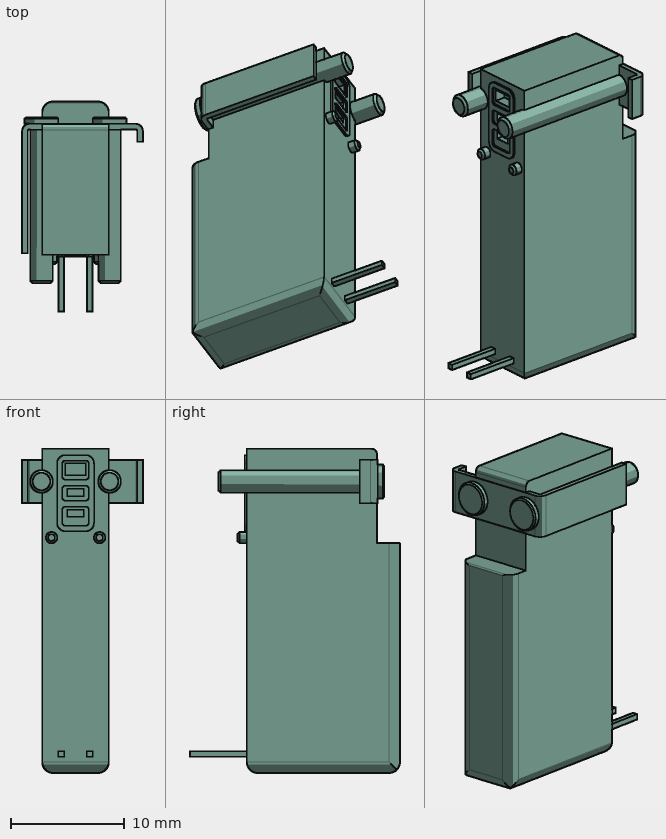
import cadquery as cq


case_width = 5.88
case_height = 28.55
case_depth = 13.5
head_depth = 11.48
step_height = 20.27
case_radius = 1.0
top_edge_radius = 0.49
step_edge_radius = 0.15

sheet = 0.5
bend_inner_radius = 0.15
bracket_back = 11.53
bracket_left = -4.7
bracket_right = 5.95
bracket_height = 3.83
bracket_middle_z = 25.67
left_leg_length = 11.42
right_leg_length = 1.6

screw_offset_x = 3.0
screw_diameter = 2.0
screw_projection = 2.5
screw_tip_chamfer = 0.23
screw_head_diameter = 3.0
screw_head_height = 0.57
screw_head_chamfer = 0.15

root_depth = 0.57

peg_offset_x = 2.1
peg_z = 20.73
peg_diameter = 1.0
peg_projection = 0.83
peg_chamfer = 0.2

lead_offset_x = 1.25
lead_z = 1.68
lead_side = 0.5
lead_projection = 5.0

frame_width = 3.25
frame_height = 6.7
frame_thickness = 0.17
frame_radius = 0.75
frame_middle_z = 24.65
window_width = 2.35
window_radius = 0.29
window_pitch = 2.03
outer_window_height = 1.68
middle_window_height = 1.3
pocket_depth = 1.0
pockets = [(1.77, 1.05, 26.72), (1.43, 0.69, 24.7), (1.43, 0.6, 22.87)]


def front_block(width, height, middle_z, y_front, y_back):
    """Block centred on X = 0 and middle_z, spanning y_front to y_back."""
    middle = (0, (y_front + y_back) / 2, middle_z)
    return cq.Workplane("XY", origin=middle).box(width, y_back - y_front, height)


def front_cylinder(x, z, diameter, y_front, y_back):
    """Cylinder along Y between y_front and y_back."""
    return (
        cq.Workplane("XZ", origin=(x, y_back, z))
        .circle(diameter / 2)
        .extrude(y_back - y_front)
    )


def make_case():
    """Case as the common volume of its three outlines, so the rounded edges meet in mitres."""
    envelope = front_block(case_width, case_height, case_height / 2, 0, case_depth)
    front_outline = envelope.edges("|Y and <Z").fillet(case_radius)
    plan_outline = envelope.edges("|Z and >Y").fillet(case_radius)
    side_outline = (
        cq.Workplane("YZ", origin=(-case_width / 2, 0, 0))
        .polyline(
            [
                (0, 0),
                (case_depth, 0),
                (case_depth, step_height),
                (head_depth, step_height),
                (head_depth, case_height),
                (0, case_height),
            ]
        )
        .close()
        .extrude(case_width)
    )
    side_outline = side_outline.edges("|X and <Z").fillet(case_radius)
    side_outline = side_outline.faces(">Z").edges(">Y").fillet(top_edge_radius)
    side_outline = side_outline.faces(">Y").edges(">Z").fillet(step_edge_radius)
    return side_outline.intersect(front_outline).intersect(plan_outline)


def make_bracket():
    """Sheet strip behind the case, with a long left leg and a short right leg."""
    outer_radius = bend_inner_radius + sheet
    back = bracket_back
    strip = (
        cq.Workplane("XY", origin=(0, 0, bracket_middle_z - bracket_height / 2))
        .moveTo(bracket_left, back - left_leg_length)
        .lineTo(bracket_left, back)
        .lineTo(bracket_right, back)
        .lineTo(bracket_right, back - right_leg_length)
        .lineTo(bracket_right - sheet, back - right_leg_length)
        .lineTo(bracket_right - sheet, back - sheet)
        .lineTo(bracket_left + sheet, back - sheet)
        .lineTo(bracket_left + sheet, back - left_leg_length)
        .close()
        .extrude(bracket_height)
    )
    strip = strip.edges("|Z and >Y").fillet(outer_radius)
    inner_y = back - sheet
    inner_bends = [(bracket_left + sheet, inner_y), (bracket_right - sheet, inner_y)]
    for x, y in inner_bends:
        nearest_edge = cq.selectors.NearestToPointSelector((x, y, bracket_middle_z))
        strip = strip.edges("|Z").edges(nearest_edge).fillet(bend_inner_radius)
    return strip


def make_screw(x):
    shank = front_cylinder(x, bracket_middle_z, screw_diameter, -screw_projection, bracket_back)
    shank = shank.faces("<Y").chamfer(screw_tip_chamfer)
    head = front_cylinder(
        x, bracket_middle_z, screw_head_diameter, bracket_back, bracket_back + screw_head_height
    )
    head = head.faces(">Y").chamfer(screw_head_chamfer)
    return shank.union(head)


def make_peg(x):
    peg = front_cylinder(x, peg_z, peg_diameter, -peg_projection, root_depth)
    return peg.faces("<Y").chamfer(peg_chamfer)


def make_lead(x):
    lead = front_block(lead_side, lead_side, lead_z, -lead_projection, root_depth)
    return lead.translate((x, 0, 0))


def make_frame():
    frame = front_block(frame_width, frame_height, frame_middle_z, -frame_thickness, 0)
    frame = frame.edges("|Y").fillet(frame_radius)
    window_heights = {1: outer_window_height, 0: middle_window_height, -1: outer_window_height}
    for row, height in window_heights.items():
        middle_z = frame_middle_z + row * window_pitch
        window = front_block(window_width, height, middle_z, -frame_thickness, 0)
        frame = frame.cut(window.edges("|Y").fillet(window_radius))
    return frame


result = make_case().union(make_bracket()).union(make_frame())
for side in (-1, 1):
    result = result.union(make_screw(side * screw_offset_x))
    result = result.union(make_peg(side * peg_offset_x))
    result = result.union(make_lead(side * lead_offset_x))
for pocket_width, pocket_height, pocket_z in pockets:
    result = result.cut(front_block(pocket_width, pocket_height, pocket_z, 0, pocket_depth))